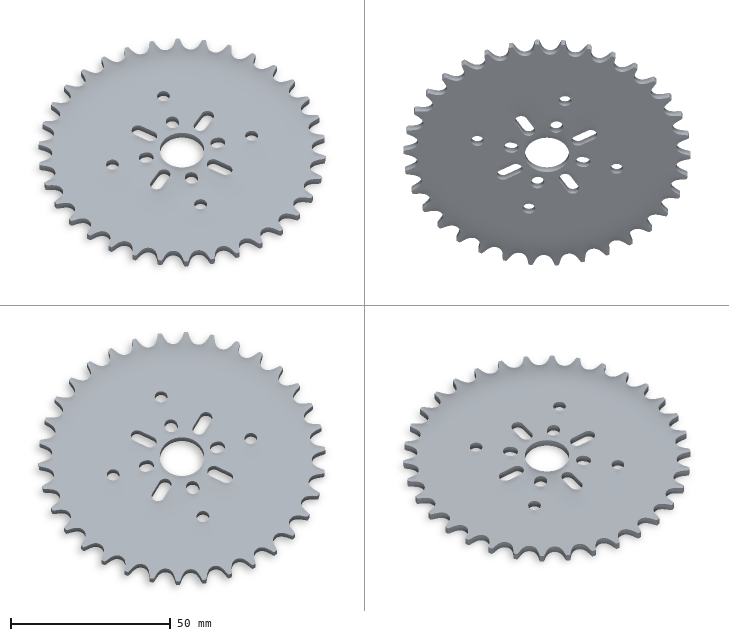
import cadquery as cq
import math

thickness = 2.36
bore_diameter = 14.0

tooth_count = 34
chain_pitch = 8.0
roller_diameter = 5.0
outer_diameter = 90.2
seat_clearance = 0.038
seat_oversize = 1.005
working_offset_factor = 0.8
topping_offset_factor = 1.4

hole_diameter = 4.0
grid_half_spacing = 16.0
slot_inner_radius = grid_half_spacing / math.sqrt(2)
slot_outer_radius = grid_half_spacing
short_slot_outer_radius = 12.0

outer_radius = outer_diameter / 2
tooth_angle = 2 * math.pi / tooth_count
pitch_radius = chain_pitch / 2 / math.sin(tooth_angle / 2)

seat_radius = seat_oversize * roller_diameter / 2 + seat_clearance
root_radius = pitch_radius - seat_radius
working_offset = working_offset_factor * roller_diameter
working_radius = working_offset + seat_radius
seat_angle = math.radians(35 + 60 / tooth_count)
working_angle = math.radians(18 - 56 / tooth_count)
topping_angle = math.radians(17 - 64 / tooth_count)
topping_offset = topping_offset_factor * roller_diameter
topping_radius = (
    working_offset * math.cos(working_angle) + topping_offset * math.cos(topping_angle) - working_radius
)


def polar(radius, angle):
    """Point at a radius and an angle in radians from +X."""
    return (radius * math.cos(angle), radius * math.sin(angle))


def offset(start, radius, angle):
    """Point at a radius and an angle from a start point."""
    return (start[0] + radius * math.cos(angle), start[1] + radius * math.sin(angle))


def rotate(point, angle):
    """Point turned about the part axis."""
    return polar(math.hypot(*point), math.atan2(point[1], point[0]) + angle)


def mirror(point):
    """Point reflected across the X axis."""
    return (point[0], -point[1])


def flank_points():
    """Flank from roller seat to tip, on the +Y side of a gap centred on +X."""
    seat_centre = (pitch_radius, 0)
    seat_direction = math.pi / 2 + seat_angle
    line_direction = seat_direction - working_angle
    working_centre = offset(seat_centre, -working_offset, seat_direction)
    topping_centre = offset(seat_centre, topping_offset, math.pi / 2 + tooth_angle / 2)

    seat_end = offset(seat_centre, seat_radius, seat_direction)
    working_middle = offset(working_centre, working_radius, seat_direction - working_angle / 2)
    line_start = offset(working_centre, working_radius, line_direction)
    line_end = offset(topping_centre, -topping_radius, line_direction)

    centre_distance = math.hypot(*topping_centre)
    cosine = (centre_distance**2 + outer_radius**2 - topping_radius**2) / (2 * centre_distance * outer_radius)
    tip_angle = math.atan2(topping_centre[1], topping_centre[0]) - math.acos(cosine)
    tip = polar(outer_radius, tip_angle)
    tip_direction = math.atan2(tip[1] - topping_centre[1], tip[0] - topping_centre[0])
    topping_middle = offset(topping_centre, topping_radius, (line_direction - math.pi + tip_direction) / 2)
    return seat_end, working_middle, line_start, line_end, topping_middle, tip


def toothed_disc():
    """Disc whose rim repeats a roller seat, two flanks and a tip land on the outer circle."""
    flank = flank_points()
    falling = [mirror(point) for point in flank]
    rim = cq.Workplane("XY").moveTo(*falling[-1])
    for tooth in range(tooth_count):
        gap = tooth * tooth_angle
        seat_start, working_in, line_in, line_out, topping_in, _ = [rotate(point, gap) for point in falling]
        seat_end, working_out, line_start, line_end, topping_out, tip = [rotate(point, gap) for point in flank]
        next_tip = rotate(falling[-1], gap + tooth_angle)
        rim = rim.threePointArc(topping_in, line_out)
        rim = rim.lineTo(*line_in)
        rim = rim.threePointArc(working_in, seat_start)
        rim = rim.threePointArc(polar(root_radius, gap), seat_end)
        rim = rim.threePointArc(working_out, line_start)
        rim = rim.lineTo(*line_end)
        rim = rim.threePointArc(topping_out, tip)
        rim = rim.threePointArc(polar(outer_radius, gap + tooth_angle / 2), next_tip)
    return rim.close().extrude(thickness)


def radial_slots(inner_radius, end_radius, first_angle):
    """Four slots on radial lines, given by the radii of their end centres."""
    return (
        cq.Workplane("XY")
        .polarArray((inner_radius + end_radius) / 2, first_angle, 360, 4)
        .slot2D(end_radius - inner_radius + hole_diameter, hole_diameter)
        .extrude(thickness)
    )


def corner_holes():
    """Round holes at the corners of the bolt square."""
    return (
        cq.Workplane("XY")
        .rect(2 * grid_half_spacing, 2 * grid_half_spacing, forConstruction=True)
        .vertices()
        .circle(hole_diameter / 2)
        .extrude(thickness)
    )


bore = cq.Workplane("XY").circle(bore_diameter / 2).extrude(thickness)

result = (
    toothed_disc()
    .cut(bore)
    .cut(corner_holes())
    .cut(radial_slots(slot_inner_radius, slot_outer_radius, 0))
    .cut(radial_slots(slot_inner_radius, short_slot_outer_radius, 45))
)